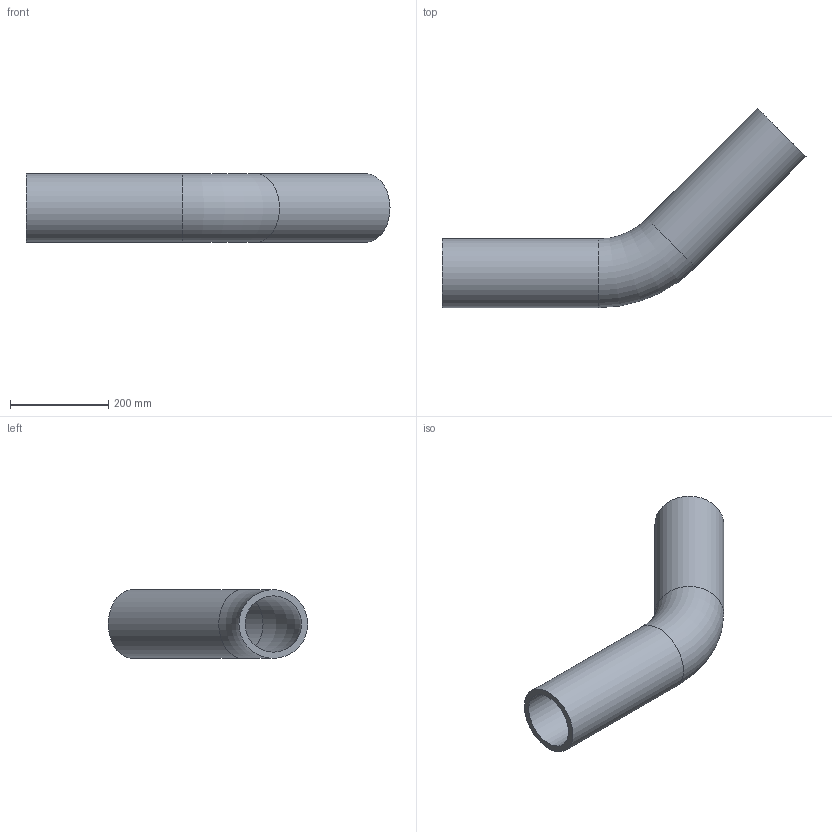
import cadquery as cq
import math

OUTER_DIAMETER = 140.0
BORE_DIAMETER = 114.6
BEND_ANGLE = 45.0
BEND_RADIUS = 1.5 * OUTER_DIAMETER
CENTRE_TO_END = 405.0

BEND_SETBACK = BEND_RADIUS * math.tan(math.radians(BEND_ANGLE / 2))


def point_along(distance, angle):
    """Point in the XY plane at a distance from the origin, angle in degrees from +X."""
    direction = math.radians(angle)
    return (distance * math.cos(direction), distance * math.sin(direction))


def centreline():
    """Path of the pipe axis, with the leg axes crossing at the origin."""
    return (
        cq.Workplane("XY")
        .moveTo(-CENTRE_TO_END, 0)
        .lineTo(-BEND_SETBACK, 0)
        .tangentArcPoint(point_along(BEND_SETBACK, BEND_ANGLE), relative=False)
        .lineTo(*point_along(CENTRE_TO_END, BEND_ANGLE))
    )


def pipe():
    """Annular pipe section swept along the centreline."""
    return (
        cq.Workplane("YZ", origin=(-CENTRE_TO_END, 0, 0))
        .circle(OUTER_DIAMETER / 2)
        .circle(BORE_DIAMETER / 2)
        .sweep(centreline())
    )


result = pipe()